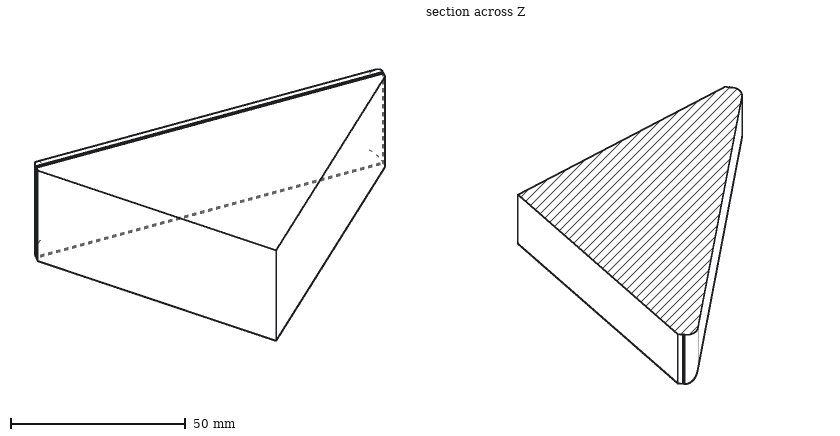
import cadquery as cq
import math

leg_length = 75.0
height = 38.0
rim_step = 1.0
groove_width = 0.5
groove_depth = 0.25
cover_thickness = 3.5

rim_thickness = rim_step * math.sqrt(2)

slope_length = leg_length * math.sqrt(2)
slope_normal = cq.Vector(-1, 1, 0)
slope_plane = cq.Plane(origin=(0, 0, 0), xDir=(-1, -1, 0), normal=slope_normal)


def make_corner():
    """Right-angled triangular block with its legs along X and Y, sloping side through the origin."""
    half_leg = leg_length / 2
    outline = [
        (-half_leg, -half_leg),
        (half_leg, -half_leg),
        (half_leg, half_leg),
    ]
    return cq.Workplane("XY", origin=(0, 0, -height / 2)).polyline(outline).close().extrude(height)


def make_layer(start, thickness, inset=0.0):
    """Rectangular plate parallel to the sloping side, beginning at a distance from it."""
    return (
        cq.Workplane(slope_plane)
        .workplane(offset=start)
        .rect(slope_length - 2 * inset, height - 2 * inset)
        .extrude(thickness)
    )


def make_cover(start):
    """Cover plate with quarter-round sides running from its back to its outer face."""
    blank = make_layer(start - groove_width, groove_width + cover_thickness)
    outer_face = cq.selectors.DirectionMinMaxSelector(slope_normal)
    rounded = blank.faces(outer_face).edges().fillet(cover_thickness)
    return rounded.cut(make_layer(start - groove_width, groove_width))


rim = make_layer(0, rim_thickness)
groove_core = make_layer(rim_thickness, groove_width, groove_depth)
cover = make_cover(rim_thickness + groove_width)
result = make_corner().union(rim).union(groove_core).union(cover)